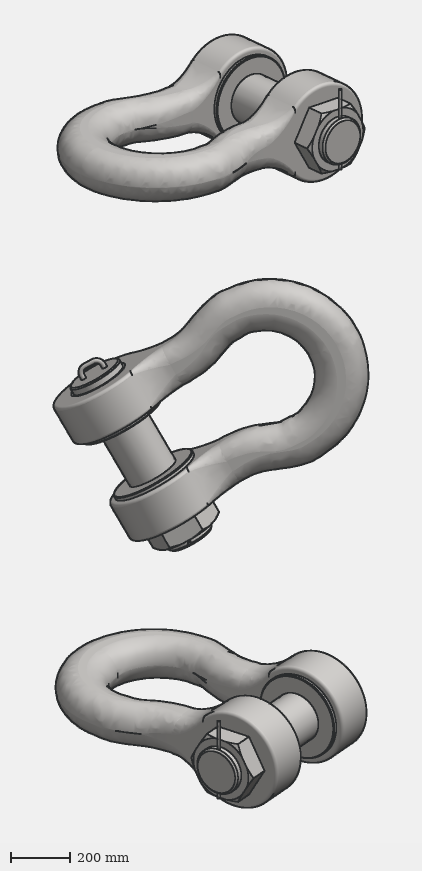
import cadquery as cq
import math


ear_radius = 178.0
ear_inner_x = 119.0
ear_outer_x = 269.0
ear_edge_radius = 12.0
boss_radius = 152.0
boss_height = 14.0
boss_chamfer = 3.0

bow_end_y = -844.0
bar_bottom_width = 184.0
ring_outer_radius = 330.0
ring_inner_radius = 165.0
ring_corner_radius = 76.0
outer_bend_radius = 223.0
bar_half_height = 77.0
neck_blend_radius = 175.0
arm_corner_radius = 56.0

shank_radius = 89.0
collar_radius = 104.0
head_radius = 96.0
head_end_x = -295.0
head_chamfer = 5.0
tail_radius = 84.0
tail_end_x = 369.0
tail_chamfer = 7.0
handle_reach = 46.0
handle_wire_radius = 9.0
handle_width = 99.0
handle_bend_radius = 25.0

wire_radius = 5.0
wire_x = 355.0
wire_bottom_z = -105.0
wire_top_z = 188.0

nut_corner_radius = 128.0
nut_height = 74.0
nut_face_radius = 112.0
nut_chamfer_height = 9.0

ring_outer_y = bow_end_y + ring_outer_radius
ring_inner_y = bow_end_y + bar_bottom_width + ring_inner_radius
ring_outer_angle = math.acos((ear_outer_x + outer_bend_radius) / (ring_outer_radius + outer_bend_radius))
inner_bend_radius = outer_bend_radius + ear_outer_x - ear_inner_x
bend_x = ear_outer_x + outer_bend_radius
ring_inner_angle = math.acos(bend_x / (ring_inner_radius + inner_bend_radius))
outer_bend_y = ring_outer_y + (ring_outer_radius + outer_bend_radius) * math.sin(ring_outer_angle)
inner_bend_y = ring_inner_y + (ring_inner_radius + inner_bend_radius) * math.sin(ring_inner_angle)

blend_z = bar_half_height + neck_blend_radius
blend_y = -math.sqrt((ear_radius + neck_blend_radius) ** 2 - blend_z**2)
neck_start_y = blend_y * ear_radius / (ear_radius + neck_blend_radius)

NECK_STEPS = 4
BEND_STEPS = 3
RING_STEPS = 8


def on_circle(center_x, center_y, radius, angle):
    return cq.Vector(center_x + radius * math.cos(angle), center_y + radius * math.sin(angle), 0)


def bar_section(outer, inner, half_height, corner_radius):
    """Upright rounded rectangle spanning the bar from its outer to its inner side."""
    across = inner - outer
    plane = cq.Plane(origin=(outer + inner) * 0.5, xDir=across, normal=across.cross(cq.Vector(0, 0, 1)))
    sketch = cq.Sketch().rect(across.Length, 2 * half_height).vertices().fillet(corner_radius)
    return cq.Workplane(plane).placeSketch(sketch)._getFaces()[0].outerWire()


def neck_sections():
    """Sections from the ear of the +X arm down to the start of its bend."""
    sections = []
    for step in range(NECK_STEPS + 1):
        part = step / NECK_STEPS
        y = neck_start_y + part * (blend_y - neck_start_y)
        half_height = blend_z - math.sqrt(neck_blend_radius**2 - (y - blend_y) ** 2)
        corner = ear_edge_radius + part * (arm_corner_radius - ear_edge_radius)
        sections.append(bar_section(cq.Vector(ear_outer_x, y), cq.Vector(ear_inner_x, y), half_height, corner))
    return sections


def bend_sections():
    """Sections of the outward bend that joins the +X arm to the ring."""
    sections = []
    for step in range(BEND_STEPS):
        part = step / BEND_STEPS
        outer = on_circle(bend_x, outer_bend_y, outer_bend_radius, math.pi + part * ring_outer_angle)
        inner = on_circle(bend_x, inner_bend_y, inner_bend_radius, math.pi + part * ring_inner_angle)
        corner = arm_corner_radius + part * (ring_corner_radius - arm_corner_radius)
        sections.append(bar_section(outer, inner, bar_half_height, corner))
    return sections


def ring_sections():
    """Sections of the ring from the +X bend to the lowest point of the bow."""
    sections = []
    for step in range(RING_STEPS + 1):
        part = step / RING_STEPS
        outer_angle = ring_outer_angle - part * (ring_outer_angle + math.pi / 2)
        inner_angle = ring_inner_angle - part * (ring_inner_angle + math.pi / 2)
        outer = on_circle(0, ring_outer_y, ring_outer_radius, outer_angle)
        inner = on_circle(0, ring_inner_y, ring_inner_radius, inner_angle)
        sections.append(bar_section(outer, inner, bar_half_height, ring_corner_radius))
    return sections


def x_cylinder(start_x, end_x, radius):
    """Round bar along the pin axis."""
    return cq.Workplane("YZ", origin=(start_x, 0, 0)).circle(radius).extrude(end_x - start_x)


def make_ear():
    """Ear of the +X arm with the flat boss on its inner face."""
    ear = x_cylinder(ear_inner_x, ear_outer_x, ear_radius).edges().fillet(ear_edge_radius)
    boss = x_cylinder(ear_inner_x - boss_height, ear_outer_x - ear_edge_radius, boss_radius)
    boss = boss.faces("<X").chamfer(boss_chamfer)
    return ear.union(boss)


def loft_through(sections):
    """Smooth solid through the sections, lofted upward from the lowest one."""
    return cq.Workplane(obj=cq.Solid.makeLoft(sections[::-1]))


def make_bow():
    neck = neck_sections()
    ring = neck[-1:] + bend_sections() + ring_sections()
    half = make_ear().union(loft_through(neck)).union(loft_through(ring))
    shank_hole = x_cylinder(-ear_outer_x, ear_outer_x, shank_radius)
    collar_hole = x_cylinder(-ear_outer_x, -ear_inner_x, collar_radius)
    return half.union(half.mirror("YZ")).cut(shank_hole).cut(collar_hole)


def make_handle():
    """Round wire bracket standing on the head of the pin, in the XY plane."""
    leg_y = handle_width / 2 - handle_wire_radius
    grip_x = head_end_x - handle_reach + handle_wire_radius
    bend_start_x = grip_x + handle_bend_radius
    bend_end_y = leg_y - handle_bend_radius
    diagonal = handle_bend_radius * math.sqrt(0.5)
    mid_x = bend_start_x - diagonal
    mid_y = bend_end_y + diagonal
    root_x = head_end_x + head_chamfer
    path = (
        cq.Workplane("XY")
        .moveTo(root_x, leg_y)
        .lineTo(bend_start_x, leg_y)
        .threePointArc((mid_x, mid_y), (grip_x, bend_end_y))
        .lineTo(grip_x, -bend_end_y)
        .threePointArc((mid_x, -mid_y), (bend_start_x, -leg_y))
        .lineTo(root_x, -leg_y)
    )
    return cq.Workplane("YZ", origin=(root_x, leg_y, 0)).circle(handle_wire_radius).sweep(path)


def make_pin():
    """Headed pin with a collar flush in the -X ear, a pull handle and a retaining wire."""
    head = x_cylinder(head_end_x, -ear_outer_x, head_radius).faces("<X").chamfer(head_chamfer)
    collar = x_cylinder(-ear_outer_x, -ear_inner_x, collar_radius)
    shank = x_cylinder(-ear_inner_x, ear_outer_x, shank_radius)
    tail = x_cylinder(ear_outer_x, tail_end_x, tail_radius).faces(">X").chamfer(tail_chamfer)
    wire = (
        cq.Workplane("XY", origin=(wire_x, 0, wire_bottom_z))
        .circle(wire_radius)
        .extrude(wire_top_z - wire_bottom_z)
    )
    return head.union(collar).union(shank).union(tail).union(wire).union(make_handle())


def make_nut():
    """Hexagon nut with corners at +Y and -Y and its outer corners turned off."""
    hexagon = (
        cq.Workplane("YZ", origin=(ear_outer_x, 0, 0))
        .polygon(6, 2 * nut_corner_radius)
        .circle(tail_radius)
        .extrude(nut_height)
    )
    nut_end_x = ear_outer_x + nut_height
    turned = (
        cq.Workplane("XY")
        .moveTo(ear_outer_x, 0)
        .lineTo(ear_outer_x, nut_corner_radius)
        .lineTo(nut_end_x - nut_chamfer_height, nut_corner_radius)
        .lineTo(nut_end_x, nut_face_radius)
        .lineTo(nut_end_x, 0)
        .close()
        .revolve(360, (0, 0, 0), (1, 0, 0))
    )
    return hexagon.intersect(turned)


bow = make_bow()
pin = make_pin()
nut = make_nut()
result = cq.Compound.makeCompound([bow.val(), pin.val(), nut.val()])